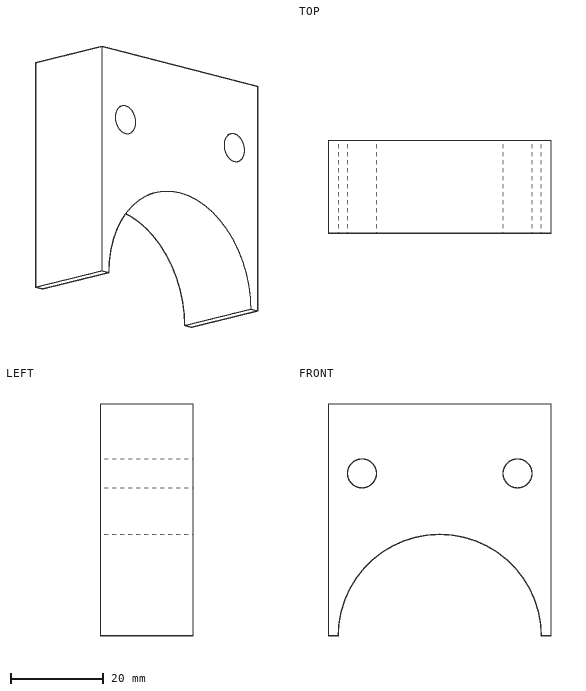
import cadquery as cq

width = 48.0
depth = 20.0
height = 50.0

saddle_diameter = 43.7

hole_diameter = 6.2
hole_spacing = 33.5
hole_drop_from_top = 15.0
hole_z = height - hole_drop_from_top


def cylinder_along_y(diameter, x, z):
    """Cylinder spanning the full depth of the block."""
    return (
        cq.Workplane("XZ", origin=(0, depth / 2, 0))
        .center(x, z)
        .circle(diameter / 2)
        .extrude(depth)
    )


block = cq.Workplane("XY").box(width, depth, height, centered=(True, True, False))

result = block.cut(cylinder_along_y(saddle_diameter, 0, 0))
for side in (-1, 1):
    result = result.cut(cylinder_along_y(hole_diameter, side * hole_spacing / 2, hole_z))